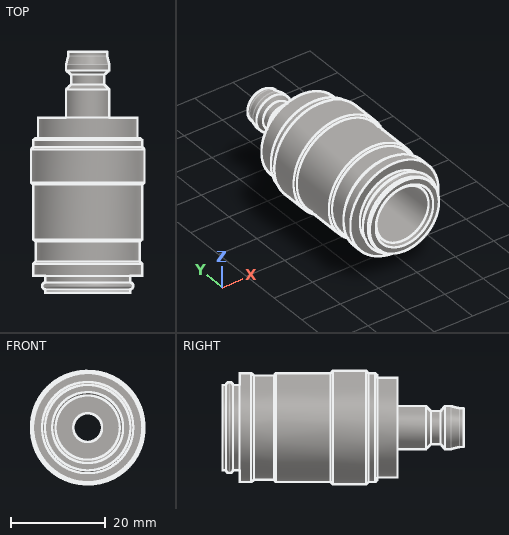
import cadquery as cq

bore_radius = 6.8
mouth_radius = 7.5
through_hole_radius = 3.0
spigot_radius = 9.05
groove_radius = 11.0
body_radius = 11.55
band_radius = 12.01
collar_radius = 10.55
stem_radius = 4.6
neck_radius = 3.5
tip_radius = 4.15

ring_section_radius = 0.75
ring_outer_radius = 9.65
ring_y = 1.5

flange_start = 3.6
flange_end = 6.7
groove_end = 10.85
band_start = 22.85
band_end = 30.8
shoulder_end = 32.7
collar_end = 37.0
stem_end = 44.0
neck_end = 46.05
barb_start = 46.95
barb_end = 48.2
tip_start = 50.05
total_length = 51.0
bore_depth = 30.6

step_chamfer = 0.45
flange_chamfer_length = 0.6
tip_chamfer = 0.15

band_chamfer = band_radius - body_radius
stem_chamfer = stem_radius - neck_radius
mouth_chamfer = mouth_radius - bore_radius


def make_body():
    """Revolve the solid outer outline, given as (radius, y), about Y."""
    outline = [
        (0, 0),
        (spigot_radius, 0),
        (spigot_radius, flange_start),
        (body_radius, flange_start),
        (body_radius, flange_end - flange_chamfer_length),
        (groove_radius, flange_end),
        (groove_radius, groove_end),
        (body_radius, groove_end + step_chamfer),
        (body_radius, band_start),
        (band_radius, band_start + band_chamfer),
        (band_radius, band_end - band_chamfer),
        (body_radius, band_end),
        (body_radius, shoulder_end - step_chamfer),
        (body_radius - step_chamfer, shoulder_end),
        (collar_radius, shoulder_end),
        (collar_radius, collar_end),
        (stem_radius, collar_end),
        (stem_radius, stem_end - stem_chamfer),
        (neck_radius, stem_end),
        (neck_radius, neck_end),
        (stem_radius, barb_start),
        (stem_radius, barb_end),
        (tip_radius, tip_start),
        (tip_radius, total_length - tip_chamfer),
        (tip_radius - tip_chamfer, total_length),
        (0, total_length),
    ]
    return cq.Workplane("XY").polyline(outline).close().revolve(360, (0, 0), (0, 1))


def make_sealing_ring():
    """Round ring partly sunk into the spigot."""
    center_radius = ring_outer_radius - ring_section_radius
    section = cq.Workplane("XY").center(center_radius, ring_y).circle(ring_section_radius)
    return section.revolve(360, (-center_radius, 0), (-center_radius, 1))


def make_bore():
    """Chamfered bore from the mouth, then a narrow hole through the stem."""
    outline = [
        (0, 0),
        (mouth_radius, 0),
        (bore_radius, mouth_chamfer),
        (bore_radius, bore_depth),
        (through_hole_radius, bore_depth),
        (through_hole_radius, total_length),
        (0, total_length),
    ]
    return cq.Workplane("XY").polyline(outline).close().revolve(360, (0, 0), (0, 1))


result = make_body().union(make_sealing_ring()).cut(make_bore())